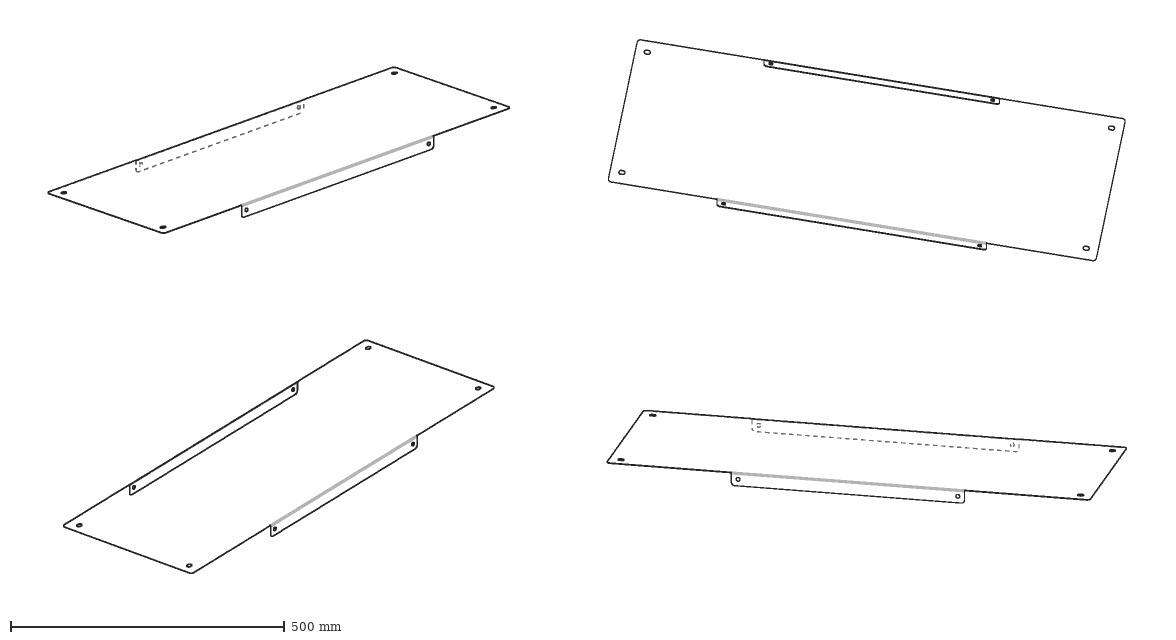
import cadquery as cq

overall_width = 303.21
plate_length = 908.05
overall_height = 25.4

sheet = 1.519
inner_bend_radius = sheet
outer_bend_radius = inner_bend_radius + sheet
corner_radius = 6.35

plate_width = overall_width - 2 * sheet
plate_slot_spacing_x = 254.0
plate_slot_spacing_y = 863.6
plate_slot_width = 7.9375
plate_slot_length = 11.1125

left_flange_length = 438.15
left_hole_spacing = 412.75
right_flange_length = 501.65
right_hole_spacing = 476.25
flange_hole_diameter = 7.14
flange_hole_z = -overall_height / 2

bend_x = overall_width / 2 - outer_bend_radius
leg_outer_x = overall_width / 2
leg_inner_x = leg_outer_x - sheet


def make_plate():
    """Flat top plate with rounded corners and a slot near each corner."""
    plate_bottom = cq.Workplane("XY", origin=(0, 0, -sheet))
    plate = plate_bottom.rect(plate_width, plate_length).extrude(sheet)
    plate = plate.edges("|Z").fillet(corner_radius)
    slots = (
        plate_bottom.rect(plate_slot_spacing_x, plate_slot_spacing_y, forConstruction=True)
        .vertices()
        .slot2D(plate_slot_length, plate_slot_width, 90)
        .extrude(sheet)
    )
    return plate.cut(slots)


def make_bend_notch(length):
    """Strip of the +X plate edge that gives way to a bend."""
    notch_width = plate_width / 2 - bend_x
    notch_center_x = bend_x + notch_width / 2
    return cq.Workplane("XY", origin=(notch_center_x, 0, -sheet)).rect(notch_width, length).extrude(sheet)


def make_flange(length, hole_spacing):
    """Flange on the +X side: a bend, then a leg hanging down with a hole near each end."""
    flange = (
        cq.Workplane("XZ", origin=(0, length / 2, 0))
        .moveTo(bend_x, 0)
        .radiusArc((leg_outer_x, -outer_bend_radius), outer_bend_radius)
        .lineTo(leg_outer_x, -overall_height)
        .lineTo(leg_inner_x, -overall_height)
        .lineTo(leg_inner_x, -outer_bend_radius)
        .radiusArc((bend_x, -sheet), -inner_bend_radius)
        .close()
        .extrude(length)
    )
    flange = flange.faces("<Z").edges("|X").fillet(corner_radius)
    holes = (
        cq.Workplane("YZ", origin=(leg_inner_x, 0, flange_hole_z))
        .pushPoints([(-hole_spacing / 2, 0), (hole_spacing / 2, 0)])
        .circle(flange_hole_diameter / 2)
        .extrude(sheet)
    )
    return flange.cut(holes)


right_notch = make_bend_notch(right_flange_length)
left_notch = make_bend_notch(left_flange_length).mirror("YZ")
right_flange = make_flange(right_flange_length, right_hole_spacing)
left_flange = make_flange(left_flange_length, left_hole_spacing).mirror("YZ")

notched_plate = make_plate().cut(right_notch).cut(left_notch)
result = notched_plate.union(right_flange).union(left_flange)